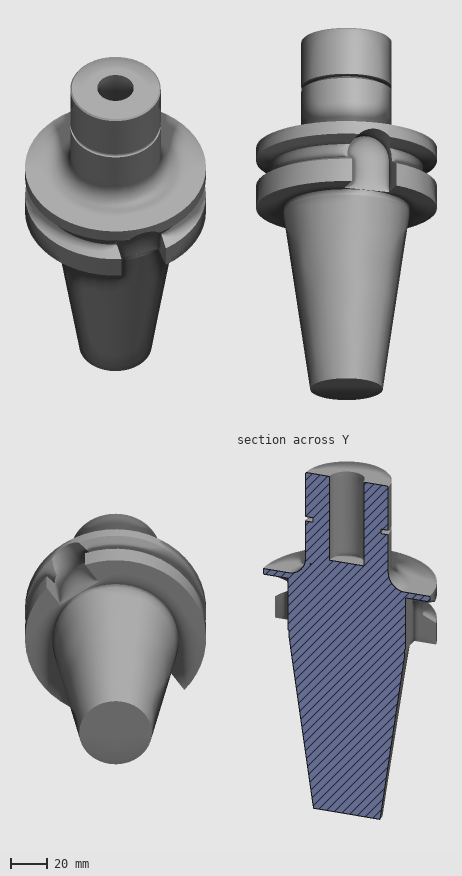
import cadquery as cq

total_length = 201.8

taper_ratio = 7 / 24
gauge_radius = 35.0
shank_length = 101.7
shank_tip_radius = gauge_radius - shank_length * taper_ratio / 2

flange_radius = 50.0
flange_bottom = 3.2
flange_top = 38.0
v_floor_radius = 42.4
v_lower_edge = 16.1
v_floor_bottom = 19.8
v_floor_top = 27.0
v_upper_edge = 30.7

nose_radius = 25.0
nose_top = total_length - shank_length
nose_chamfer = 0.8
root_fillet = gauge_radius - nose_radius
ring_groove_radius = 20.5
ring_groove_depth_below_nose = 26.8
ring_groove_width = 2.5
ring_groove_top = nose_top - ring_groove_depth_below_nose
ring_groove_bottom = ring_groove_top - ring_groove_width

bore_radius = 10.0
bore_depth = 50.5

slot_width = 25.8
slot_top = 34.3
slot_floor = 35.3

body = (
    cq.Workplane("XZ")
    .moveTo(0, -shank_length)
    .lineTo(shank_tip_radius, -shank_length)
    .lineTo(gauge_radius, 0)
    .lineTo(gauge_radius, flange_bottom)
    .lineTo(flange_radius, flange_bottom)
    .lineTo(flange_radius, v_lower_edge)
    .lineTo(v_floor_radius, v_floor_bottom)
    .lineTo(v_floor_radius, v_floor_top)
    .lineTo(flange_radius, v_upper_edge)
    .lineTo(flange_radius, flange_top)
    .lineTo(nose_radius + root_fillet, flange_top)
    .radiusArc((nose_radius, flange_top + root_fillet), root_fillet)
    .lineTo(nose_radius, ring_groove_bottom)
    .lineTo(ring_groove_radius, ring_groove_bottom)
    .lineTo(ring_groove_radius, ring_groove_top)
    .lineTo(nose_radius, ring_groove_top)
    .lineTo(nose_radius, nose_top - nose_chamfer)
    .lineTo(nose_radius - nose_chamfer, nose_top)
    .lineTo(0, nose_top)
    .close()
    .revolve(360, (0, 0, 0), (0, 1, 0))
)


def drive_slot(side):
    """Round-topped slot cutter on the side = -1 or +1 end of the X axis."""
    half_width = slot_width / 2
    arch_start = slot_top - half_width
    return (
        cq.Workplane("YZ", origin=(side * slot_floor, 0, 0))
        .moveTo(-half_width, flange_bottom)
        .lineTo(half_width, flange_bottom)
        .lineTo(half_width, arch_start)
        .threePointArc((0, slot_top), (-half_width, arch_start))
        .close()
        .extrude(side * flange_radius)
    )


for side in (-1, 1):
    body = body.cut(drive_slot(side))

bore = cq.Workplane("XY", origin=(0, 0, nose_top)).circle(bore_radius).extrude(-bore_depth)

result = body.cut(bore)